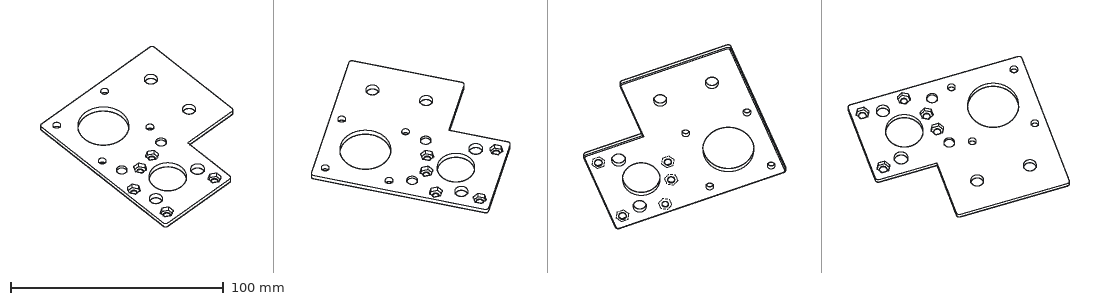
import cadquery as cq

length = 86.0
width = 73.0
thickness = 3.0
upper_length = 55.9
lower_width = 43.0
corner_radius = 1.5
bottom_chamfer = 0.5

motor_x = 21.0
motor_y = 21.5
motor_bore = 24.0
motor_screw_spacing = 31.0
motor_screw_hole = 3.6

upper_hole_diameter = 6.1
upper_hole_x = 15.0
upper_hole_y = 58.0
upper_hole_spacing = 26.1

right_bore = 17.6
right_bore_x = 64.9
back_clearance_hole = 6.5
front_clearance_hole = 6.2
clearance_x = 71.0
clearance_spacing = 27.0

pocket_diameter = 5.1
pocket_depth = 1.5
pocket_x = 46.95
pocket_spacing = 25.45

nut_corner_diameter = 6.4
nut_depth = 2.5
end_screw_hole = 3.5
end_screw_x = 80.5
inner_screws = [
    (50.0, 25.45, 0, 3.3),
    (52.0, 15.9, 30, 3.3),
    (59.5, 4.65, 30, 3.0),
]


def make_plate():
    plate = (
        cq.Workplane("XY")
        .moveTo(0, 0)
        .lineTo(length, 0)
        .lineTo(length, lower_width)
        .lineTo(upper_length, lower_width)
        .lineTo(upper_length, width)
        .lineTo(0, width)
        .close()
        .extrude(thickness)
    )
    margin = 0.9
    inside_corner = cq.selectors.BoxSelector(
        (upper_length - margin, lower_width - margin, -margin),
        (upper_length + margin, lower_width + margin, thickness + margin),
    )
    outer_corners = cq.selectors.SubtractSelector(
        cq.selectors.ParallelDirSelector(cq.Vector(0, 0, 1)), inside_corner
    )
    plate = plate.edges(outer_corners).fillet(corner_radius)
    return plate.faces("<Z").edges().chamfer(bottom_chamfer)


def drill(plate, points, diameter, depth=thickness):
    """Sink round holes from the top face; the default depth goes through."""
    cutter = (
        cq.Workplane("XY", origin=(0, 0, thickness))
        .pushPoints(points)
        .circle(diameter / 2)
        .extrude(-depth)
    )
    return plate.cut(cutter)


def nut_seat(plate, x, y, turn, screw_hole):
    """Sink a hexagonal pocket with a screw hole through its floor."""
    nut = (
        cq.Workplane("XY", origin=(x, y, thickness))
        .transformed(rotate=(0, 0, turn))
        .polygon(6, nut_corner_diameter)
        .extrude(-nut_depth)
    )
    return drill(plate.cut(nut), [(x, y)], screw_hole)


def pair_about_motor(x, spacing):
    """Two points at one x, spaced evenly about the motor's Y position."""
    return [(x, motor_y + side * spacing / 2) for side in (-1, 1)]


result = make_plate()

result = drill(result, [(motor_x, motor_y)], motor_bore)
for side in (-1, 1):
    screw_x = motor_x + side * motor_screw_spacing / 2
    result = drill(result, pair_about_motor(screw_x, motor_screw_spacing), motor_screw_hole)

upper_points = [(upper_hole_x + i * upper_hole_spacing, upper_hole_y) for i in range(2)]
result = drill(result, upper_points, upper_hole_diameter)

result = drill(result, [(right_bore_x, motor_y)], right_bore)
front_clearance, back_clearance = pair_about_motor(clearance_x, clearance_spacing)
result = drill(result, [front_clearance], front_clearance_hole)
result = drill(result, [back_clearance], back_clearance_hole)
result = drill(result, pair_about_motor(pocket_x, pocket_spacing), pocket_diameter, pocket_depth)

for x, y in pair_about_motor(end_screw_x, motor_screw_spacing):
    result = nut_seat(result, x, y, 0, end_screw_hole)
for x, y, turn, screw_hole in inner_screws:
    result = nut_seat(result, x, y, turn, screw_hole)